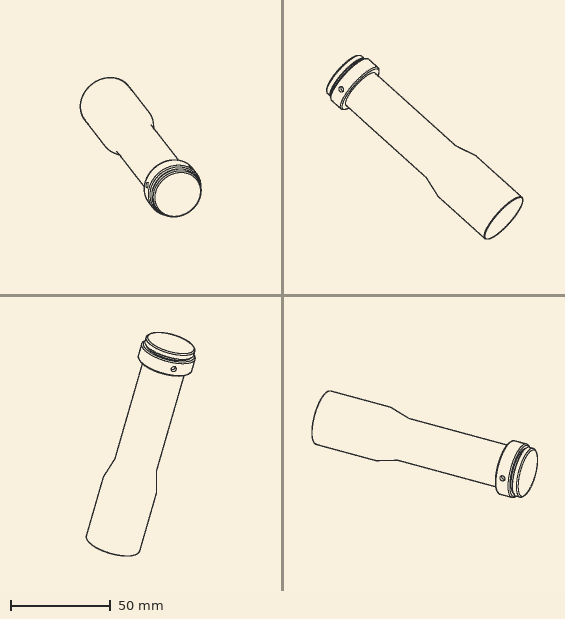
import cadquery as cq
import math

total_length = 112.8
head_length = 33.0
taper_end = 44.2
collar_start = 100.7
collar_end = 108.7
ring_start = 109.9

body_radius = 14.0
tube_radius = 10.9
groove_radius = 11.8
ring_radius = 12.7

head_chamfer = 0.3
collar_chamfer = 0.7
ring_chamfer = 0.7

hole_count = 3
first_hole_angle = 45.0
hole_diameter = 2.7
hole_depth = 2.3
drill_point_angle = 120.0
hole_x = (collar_start + collar_end) / 2


def turned_body():
    """Stepped solid of revolution about the X axis."""
    profile = [
        (0, 0),
        (0, body_radius - head_chamfer),
        (head_chamfer, body_radius),
        (head_length, body_radius),
        (taper_end, tube_radius),
        (collar_start, tube_radius),
        (collar_start, body_radius - collar_chamfer),
        (collar_start + collar_chamfer, body_radius),
        (collar_end - collar_chamfer, body_radius),
        (collar_end, body_radius - collar_chamfer),
        (collar_end, groove_radius),
        (ring_start, groove_radius),
        (ring_start, ring_radius),
        (total_length - ring_chamfer, ring_radius),
        (total_length, ring_radius - ring_chamfer),
        (total_length, 0),
    ]
    return cq.Workplane("XY").polyline(profile).close().revolve(360, (0, 0, 0), (1, 0, 0))


def radial_hole(angle):
    """Blind drilled hole with a conical floor, pointing at the X axis."""
    radius = hole_diameter / 2
    floor = body_radius - hole_depth
    tip = floor - radius / math.tan(math.radians(drill_point_angle / 2))
    cutter_profile = [(0, tip), (radius, floor), (radius, body_radius), (0, body_radius)]
    cutter = cq.Workplane("XY").polyline(cutter_profile).close().revolve(360, (0, 0, 0), (0, 1, 0))
    return cutter.translate((hole_x, 0, 0)).rotate((0, 0, 0), (1, 0, 0), angle)


result = turned_body()
for index in range(hole_count):
    result = result.cut(radial_hole(first_hole_angle + index * 360 / hole_count))